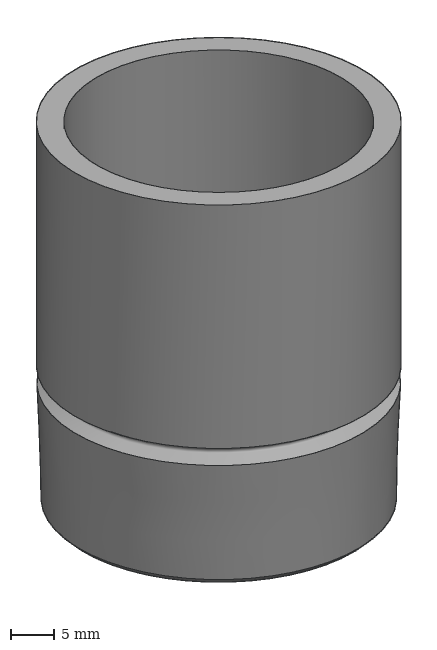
import cadquery as cq
import math

outer_diameter = 42.4
wall_thickness = 3.2
total_length = 50.0
outer_radius = outer_diameter / 2
bore_radius = outer_radius - wall_thickness

groove_middle = 17.02
groove_half_angle = math.radians(30)
groove_apex_depth = 2.0
groove_root_round = 0.35
groove_apex_radius = outer_radius - groove_apex_depth
groove_flank_slope = math.tan(groove_half_angle)
groove_top = groove_middle + groove_apex_depth * groove_flank_slope

root_centre_radius = groove_apex_radius + groove_root_round / math.sin(groove_half_angle)
root_bottom_radius = root_centre_radius - groove_root_round
root_tangent_radius = root_centre_radius - groove_root_round * math.sin(groove_half_angle)
root_tangent_offset = groove_root_round * math.cos(groove_half_angle)

radial_taper = 1 / 32
end_chamfer = 0.75


def taper_radius(height):
    """Radius of the tapered end at a height above the bottom face."""
    return outer_radius - (groove_top - height) * radial_taper


groove_bottom = (groove_middle - (taper_radius(0) - groove_apex_radius) * groove_flank_slope) / (
    1 + radial_taper * groove_flank_slope
)


def outer_wall():
    """Solid of revolution: chamfered tapered end, V-groove and plain body."""
    profile = (
        cq.Workplane("XZ")
        .lineTo(-(taper_radius(0) - end_chamfer), 0)
        .lineTo(-taper_radius(end_chamfer), end_chamfer)
        .lineTo(-taper_radius(groove_bottom), groove_bottom)
        .lineTo(-root_tangent_radius, groove_middle - root_tangent_offset)
        .threePointArc(
            (-root_bottom_radius, groove_middle),
            (-root_tangent_radius, groove_middle + root_tangent_offset),
        )
        .lineTo(-outer_radius, groove_top)
        .lineTo(-outer_radius, total_length)
        .lineTo(0, total_length)
        .close()
    )
    return profile.revolve(360, (0, 0, 0), (0, 1, 0))


def bore():
    """Plain cylinder running the full length of the pipe."""
    return cq.Workplane("XY").circle(bore_radius).extrude(total_length)


result = outer_wall().cut(bore())